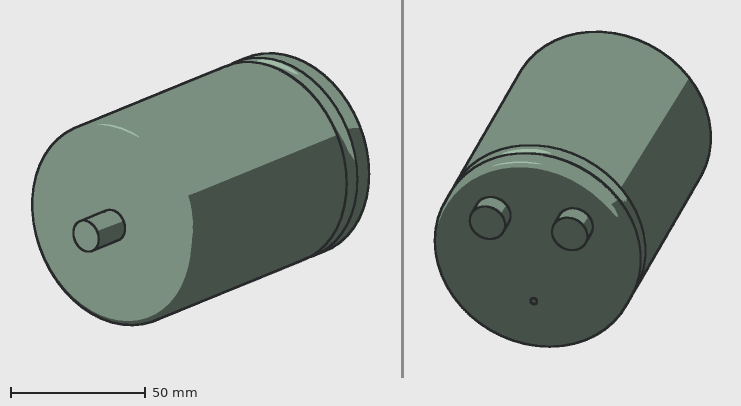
import cadquery as cq

total_length = 130.6
can_diameter = 78.0
stud_length = 15.9
stud_diameter = 12.0
terminal_length = 7.6
terminal_diameter = 13.7
terminal_offset_x = 15.9
terminal_offset_z = 15.9
edge_radius = 2.0

rim_width = 8.5
groove_width = 6.4
groove_depth = 1.6

button_diameter = 2.5
button_height = 0.4
button_offset_z = -19.1

can_radius = can_diameter / 2
can_length = total_length - stud_length - terminal_length
can_front = -can_length / 2
can_back = can_length / 2
groove_back = can_back - rim_width
groove_middle = groove_back - groove_width / 2
groove_front = groove_back - groove_width


def cylinder_along_y(diameter, start_y, length, x=0, z=0):
    """Solid cylinder running toward +Y from start_y."""
    start = cq.Vector(x, start_y, z)
    solid = cq.Solid.makeCylinder(diameter / 2, length, start, cq.Vector(0, 1, 0))
    return cq.Workplane(obj=solid)


def make_can():
    """Revolve the half outline about Y, with the groove as an arc, then round both end rims."""
    outline = (
        cq.Workplane("XY")
        .moveTo(0, can_front)
        .lineTo(can_radius, can_front)
        .lineTo(can_radius, groove_front)
        .threePointArc((can_radius - groove_depth, groove_middle), (can_radius, groove_back))
        .lineTo(can_radius, can_back)
        .lineTo(0, can_back)
        .close()
    )
    can = outline.revolve(360, (0, 0, 0), (0, 1, 0))
    return can.faces("<Y or >Y").edges().fillet(edge_radius)


result = make_can()

result = result.union(cylinder_along_y(stud_diameter, can_front - stud_length, stud_length))

for side in (-1, 1):
    terminal_x = side * terminal_offset_x
    terminal = cylinder_along_y(
        terminal_diameter, can_back, terminal_length, terminal_x, terminal_offset_z
    )
    result = result.union(terminal)

result = result.union(cylinder_along_y(button_diameter, can_back, button_height, z=button_offset_z))